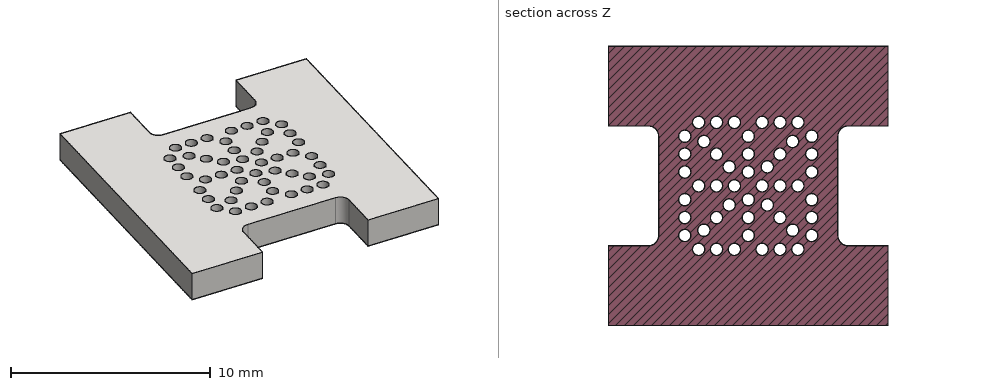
import cadquery as cq
import math

plate_size = 14.0
thickness = 1.6
notch_depth = 2.5
notch_width = 5.99
notch_corner_radius = 0.5

hole_diameter = 0.6
cell_size = 3.18
hole_pitch = 0.9
holes_per_line = 3

cell_middle = cell_size / 2
diagonal_pitch = hole_pitch / math.sqrt(2)


def notch(side):
    """Cutter for one side notch; side is -1 or +1 along X."""
    return (
        cq.Workplane("XY")
        .center(side * plate_size / 2, 0)
        .rect(2 * notch_depth, notch_width)
        .extrude(thickness)
        .edges("|Z")
        .fillet(notch_corner_radius)
    )


def hole_positions():
    """Hole centres on the cell borders and on the outward diagonals."""
    points = []
    for i in range(holes_per_line):
        step = i - (holes_per_line - 1) / 2
        along_border = cell_middle + step * hole_pitch
        along_diagonal = cell_middle + step * diagonal_pitch
        for side in (-1, 1):
            for border in (-cell_size, 0, cell_size):
                points.append((side * along_border, border))
                points.append((border, side * along_border))
            for other_side in (-1, 1):
                points.append((side * along_diagonal, other_side * along_diagonal))
    return points


plate = cq.Workplane("XY").rect(plate_size, plate_size).extrude(thickness)
for side in (-1, 1):
    plate = plate.cut(notch(side))

holes = (
    cq.Workplane("XY")
    .pushPoints(hole_positions())
    .circle(hole_diameter / 2)
    .extrude(thickness)
)
result = plate.cut(holes)